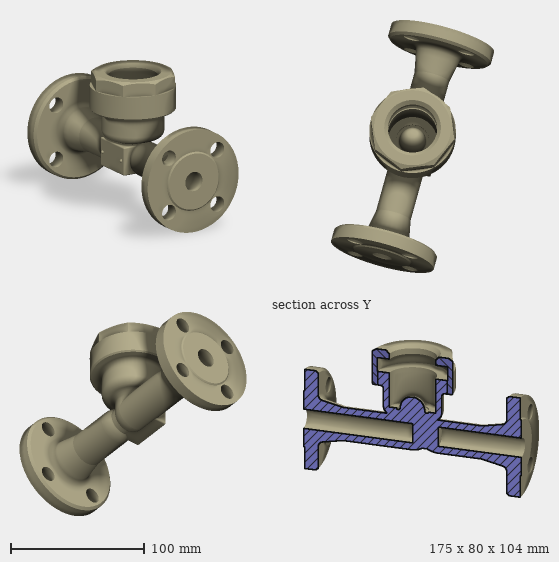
import cadquery as cq
import math


face_to_face = 175
pipe_diameter = 27.0
bore_diameter = 15.0
flange_diameter = 80.0
flange_thickness = 11.0
flange_chamfer = 2.0
raised_face_height = 1.0
raised_face_diameter = 43.5
raised_face_base_diameter = 45.8
hub_end_x = 55.1
hub_flange_diameter = 35
hub_fillet = 3.8
bolt_hole_diameter = 12.0
bolt_circle_diameter = 60.0
bolt_count = 4
first_bolt_angle = 180 / bolt_count

outlet_end_x = 20.8
outlet_end_radius = 19.2
waist_diameter = 22.4

neck_diameter = 47.0
neck_base_z = 12.8
neck_base_fillet = 6.0
shoulder_fillet = 2.5
plug_bottom_z = 34.8
plug_top_z = 46.0
plug_diameter = 56

chamber_diameter = 37.0
chamber_floor_z = 18.7
recess_diameter = 25.0
recess_depth = 1.0
dome_foot_diameter = 23.0
dome_diameter = 20.0

plate_length = 34.0
plate_height = 22.0
plate_front_y = -18.4
plate_fillet = 1.0
rivet_diameter = 2.6
rivet_spacing = 26.6

cap_diameter = 65.0
cap_bottom_z = plug_bottom_z
total_height = 104.0
cap_top_z = total_height - flange_diameter / 2
cap_bottom_chamfer = 1.0
octagon_sides = 8
octagon_bottom_z = 53.2
octagon_top_diameter = 57.8
octagon_chamfer_angle = 30
lip_bottom_z = 56.7
cap_hole_diameter = chamber_diameter
cap_hole_chamfer = 2.8

half_length = face_to_face / 2
pipe_radius = pipe_diameter / 2
flange_front_x = half_length - raised_face_height
flange_back_x = flange_front_x - flange_thickness


def cylinder_z(diameter, bottom_z, top_z):
    return cq.Workplane("XY").workplane(offset=bottom_z).circle(diameter / 2).extrude(top_z - bottom_z)


def cylinder_x(diameter, start_x, end_x):
    return cq.Workplane("YZ").workplane(offset=start_x).circle(diameter / 2).extrude(end_x - start_x)


def hub_root_selector():
    """Box around the circle where the hub meets the back of the flange."""
    reach = hub_flange_diameter / 2 + flange_chamfer
    return cq.selectors.BoxSelector(
        (flange_back_x - flange_chamfer, -reach, -reach),
        (flange_back_x + flange_chamfer, reach, reach),
        boundingbox=True,
    )


def make_pipe_end():
    """Outlet end: hub and flange, from the end of the straight pipe to the raised face."""
    hub_profile = [
        (hub_end_x, 0),
        (hub_end_x, pipe_radius),
        (flange_back_x, hub_flange_diameter / 2),
        (flange_back_x, flange_diameter / 2 - flange_chamfer),
        (flange_back_x + flange_chamfer, flange_diameter / 2),
        (flange_front_x, flange_diameter / 2),
        (flange_front_x, raised_face_base_diameter / 2),
        (half_length, raised_face_diameter / 2),
        (half_length, 0),
    ]
    pipe_end = cq.Workplane("XY").polyline(hub_profile).close().revolve(360, (0, 0, 0), (1, 0, 0))
    pipe_end = pipe_end.edges(hub_root_selector()).fillet(hub_fillet)
    bolt_holes = (
        cq.Workplane("YZ")
        .workplane(offset=flange_back_x)
        .polarArray(bolt_circle_diameter / 2, first_bolt_angle, 360, bolt_count)
        .circle(bolt_hole_diameter / 2)
        .extrude(flange_thickness)
    )
    return pipe_end.cut(bolt_holes)


def make_outlet_pipe():
    """Straight outlet pipe whose inner end curves in to a narrow waist at the elbow."""
    waist_radius = waist_diameter / 2
    arc_centre_r = pipe_radius - outlet_end_radius

    def arc_x(radius):
        return outlet_end_x - math.sqrt(outlet_end_radius**2 - (radius - arc_centre_r) ** 2)

    middle_radius = (waist_radius + pipe_radius) / 2
    return (
        cq.Workplane("XY")
        .lineTo(0, waist_radius)
        .lineTo(arc_x(waist_radius), waist_radius)
        .threePointArc((arc_x(middle_radius), middle_radius), (outlet_end_x, pipe_radius))
        .lineTo(hub_end_x, pipe_radius)
        .lineTo(hub_end_x, 0)
        .close()
        .revolve(360, (0, 0, 0), (1, 0, 0))
    )


def make_neck():
    """Solid neck: elbow column, rounded base, barrel and the plug that enters the cap."""
    neck_radius = neck_diameter / 2
    base_edge_radius = neck_radius - neck_base_fillet
    column_fillet = base_edge_radius - pipe_radius
    return (
        cq.Workplane("XZ")
        .lineTo(pipe_radius, 0)
        .lineTo(pipe_radius, neck_base_z - column_fillet)
        .radiusArc((base_edge_radius, neck_base_z), column_fillet)
        .radiusArc((neck_radius, neck_base_z + neck_base_fillet), -neck_base_fillet)
        .lineTo(neck_radius, plug_bottom_z - shoulder_fillet)
        .radiusArc((neck_radius + shoulder_fillet, plug_bottom_z), shoulder_fillet)
        .lineTo(plug_diameter / 2, plug_bottom_z)
        .lineTo(plug_diameter / 2, plug_top_z)
        .lineTo(0, plug_top_z)
        .close()
        .revolve(360, (0, 0, 0), (0, 1, 0))
    )


def make_chamber():
    """Empty space in the neck: a round chamber with a dome standing in a shallow floor recess."""
    dome_radius = dome_diameter / 2
    foot_radius = dome_foot_diameter / 2
    foot_fillet = foot_radius - dome_radius
    recess_z = chamber_floor_z - recess_depth
    dome_base_z = recess_z + foot_fillet
    diagonal = dome_radius * math.sqrt(0.5)
    return (
        cq.Workplane("XZ")
        .moveTo(0, dome_base_z + dome_radius)
        .threePointArc((diagonal, dome_base_z + diagonal), (dome_radius, dome_base_z))
        .radiusArc((foot_radius, recess_z), -foot_fillet)
        .lineTo(recess_diameter / 2, recess_z)
        .lineTo(recess_diameter / 2, chamber_floor_z)
        .lineTo(chamber_diameter / 2, chamber_floor_z)
        .lineTo(chamber_diameter / 2, plug_top_z)
        .lineTo(0, plug_top_z)
        .close()
        .revolve(360, (0, 0, 0), (0, 1, 0))
    )


def make_name_plate():
    """Block on the -Y side of the elbow with a rounded front and two round-headed rivets."""
    plate = (
        cq.Workplane("XZ")
        .rect(plate_length, plate_height)
        .extrude(-plate_front_y)
        .edges("<Y or |Y")
        .fillet(plate_fillet)
    )
    for x in (-rivet_spacing / 2, rivet_spacing / 2):
        plate = plate.union(cq.Workplane("XY").sphere(rivet_diameter / 2).translate((x, plate_front_y, 0)))
    return plate


def make_housing():
    outlet_end = make_pipe_end()
    inlet_end = outlet_end.mirror("YZ")
    inlet_pipe = cylinder_x(pipe_diameter, -hub_end_x, 0)
    elbow = cq.Workplane("XY").sphere(pipe_radius)
    outlet_bore = cylinder_x(bore_diameter, outlet_end_x, half_length)
    inlet_bore = cylinder_x(bore_diameter, -half_length, 0)
    return (
        inlet_pipe.union(elbow)
        .union(make_outlet_pipe())
        .union(make_neck())
        .union(make_name_plate())
        .union(inlet_end)
        .union(outlet_end)
        .cut(make_chamber())
        .cut(inlet_bore)
        .cut(outlet_bore)
    )


def make_cap():
    """Octagon-headed cap, bored from below over the housing plug and open at the top."""
    round_skirt = cylinder_z(cap_diameter, cap_bottom_z, octagon_bottom_z)
    round_skirt = round_skirt.faces("<Z").chamfer(cap_bottom_chamfer)
    octagon = (
        cq.Workplane("XY")
        .workplane(offset=octagon_bottom_z)
        .polygon(octagon_sides, cap_diameter)
        .extrude(cap_top_z - octagon_bottom_z)
    )
    corner_drop = (cap_diameter - octagon_top_diameter) / 2 * math.tan(math.radians(octagon_chamfer_angle))
    crown = (
        cq.Workplane("XZ")
        .moveTo(0, octagon_bottom_z)
        .lineTo(cap_diameter / 2, octagon_bottom_z)
        .lineTo(cap_diameter / 2, cap_top_z - corner_drop)
        .lineTo(octagon_top_diameter / 2, cap_top_z)
        .lineTo(0, cap_top_z)
        .close()
        .revolve(360, (0, 0, 0), (0, 1, 0))
    )
    top_hole = cylinder_z(cap_hole_diameter, lip_bottom_z, cap_top_z)
    hole_chamfer = cq.Workplane(
        cq.Solid.makeCone(
            cap_hole_diameter / 2,
            cap_hole_diameter / 2 + cap_hole_chamfer,
            cap_hole_chamfer,
            pnt=cq.Vector(0, 0, cap_top_z - cap_hole_chamfer),
        )
    )
    plug_bore = cylinder_z(plug_diameter, cap_bottom_z, lip_bottom_z)
    return round_skirt.union(octagon.intersect(crown)).cut(top_hole).cut(hole_chamfer).cut(plug_bore)


housing = make_housing()
cap = make_cap()
result = cq.Compound.makeCompound([housing.val(), cap.val()])